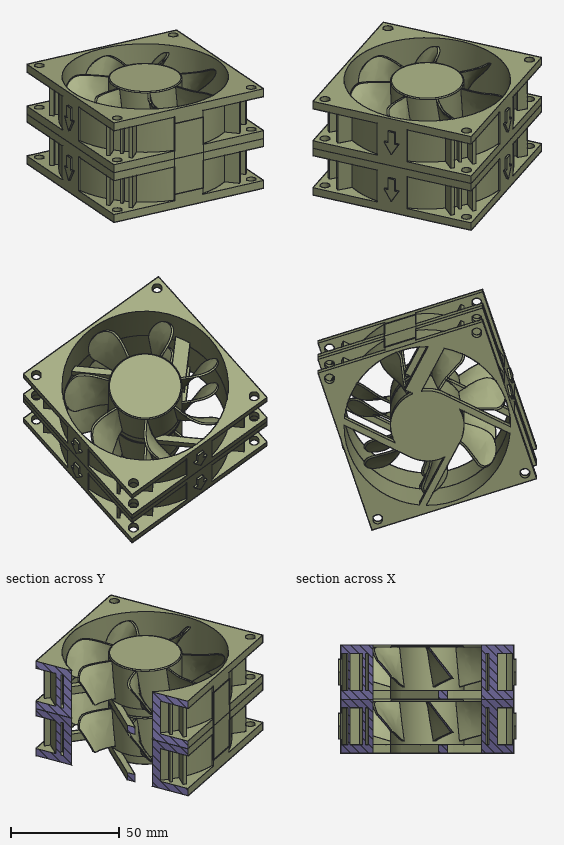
import cadquery as cq


fan_count = 2
fan_width = 80.0
fan_height = 25.0
flange_thickness = 4.0
duct_bore_radius = 38.4
duct_outer_radius = 40.0
side_pad_width = 15.0
screw_spacing = 71.5
screw_hole_diameter = 4.5

corner_angles = [45, 135, 225, 315]
hook_corner_angle = 225
rib_outer_offset = 6.25
rib_thickness = 1.7
rib_reach = 46.6
web_thickness = 1.2
web_reach = 42.7
hook_half_width = 8.0
hook_plate_inner = 41.5
hook_plate_outer = 43.6
hook_lip_reach = 46.4
hook_lip_thickness = 1.3

arrow_angles = [90, 180, 270]
arrow_height = 1.0
arrow_length = 12.0
arrow_head_length = 6.0
arrow_head_width = 7.2
arrow_shaft_width = 3.4

base_radius = 17.0
base_thickness = 4.0
strut_width = 3.0
strut_angles = [135, 225, 315]
strut_end_radius = (duct_bore_radius + duct_outer_radius) / 2
cable_strut_angle = 45
cable_strut_width = 7.0
cable_strut_start = 10.9

hub_radius = base_radius
hub_top = fan_height - 0.5
hub_chamfer = 0.5
blade_count = 7
blade_thickness = 1.0
blade_top = hub_top - hub_chamfer
blade_bottom = base_thickness + 1.0
blade_root = 15.0
blade_straight_end = 30.0
blade_bottom_rise = 4.5
blade_tip = 37.4
blade_top_curve = [(15.0, 3.0), (20.5, 4.7), (28.0, 6.2), (33.0, 5.8), (38.5, 5.0)]
blade_middle_curve = [(15.0, 1.9), (20.5, 1.8), (23.4, 1.2), (29.3, -0.7), (33.0, -2.2), (38.5, -2.6)]
blade_bottom_curve = [(15.0, 0.8), (17.0, 0.4), (23.4, -2.2), (29.3, -6.5), (33.0, -8.2), (38.5, -7.6)]

label_width = 15.5
label_length = 35.5
label_thickness = 0.33


def block(x_range, y_range, z_range):
    """A box between the given limits."""
    size = [high - low for low, high in (x_range, y_range, z_range)]
    corner = (x_range[0], y_range[0], z_range[0])
    return cq.Workplane("XY").box(*size, centered=False).translate(corner)


def turned(body, angle):
    """The body turned about the fan axis."""
    return body.rotate((0, 0, 0), (0, 0, 1), angle)


def make_frame():
    """Two square flanges joined by the duct wall and the four side pads."""
    frame = cq.Workplane("XY").rect(fan_width, fan_width).extrude(fan_height)
    waist_height = fan_height - 2 * flange_thickness
    waist = cq.Workplane("XY").workplane(offset=flange_thickness)
    recess = waist.rect(fan_width, fan_width).extrude(waist_height)
    recess = recess.cut(waist.circle(duct_outer_radius).extrude(waist_height))
    recess = recess.cut(waist.rect(fan_width, side_pad_width).extrude(waist_height))
    recess = recess.cut(waist.rect(side_pad_width, fan_width).extrude(waist_height))
    return frame.cut(recess)


def make_corner_ribs(angle):
    """Two ribs on the duct wall either side of a corner's diagonal, with a shorter web between."""
    rib_end = rib_reach
    web_end = web_reach
    if angle == hook_corner_angle:
        rib_end = hook_plate_inner
        web_end = hook_plate_inner
    waist = (flange_thickness, fan_height - flange_thickness)
    rib_inner_offset = rib_outer_offset - rib_thickness
    length = (duct_bore_radius, rib_end)
    ribs = block(length, (rib_inner_offset, rib_outer_offset), waist)
    ribs = ribs.union(block(length, (-rib_outer_offset, -rib_inner_offset), waist))
    web = block((duct_bore_radius, web_end), (-web_thickness / 2, web_thickness / 2), waist)
    return turned(ribs.union(web), angle)


def make_cable_hook():
    """A plate across one corner's ribs with a lip along one edge."""
    waist = (flange_thickness, fan_height - flange_thickness)
    plate = block((hook_plate_inner, hook_plate_outer), (-hook_half_width, hook_half_width), waist)
    lip_sides = (-hook_half_width, hook_lip_thickness - hook_half_width)
    lip = block((hook_plate_inner, hook_lip_reach), lip_sides, waist)
    return turned(plate.union(lip), hook_corner_angle)


def make_arrow(angle):
    """A raised arrow pointing down in the air flow direction."""
    tip_z = (fan_height - arrow_length) / 2
    head_z = tip_z + arrow_head_length
    tail_z = tip_z + arrow_length
    half_shaft = arrow_shaft_width / 2
    half_head = arrow_head_width / 2
    outline = [
        (0, tip_z),
        (half_head, head_z),
        (half_shaft, head_z),
        (half_shaft, tail_z),
        (-half_shaft, tail_z),
        (-half_shaft, head_z),
        (-half_head, head_z),
    ]
    arrow = cq.Workplane("YZ").workplane(offset=fan_width / 2).polyline(outline).close()
    return turned(arrow.extrude(arrow_height), angle)


def make_strut(angle, width, start):
    """A bar whose outer edge is tangent to the motor base, running out to the duct wall."""
    bar = block((start, duct_outer_radius), (-base_radius, width - base_radius), (0, base_thickness))
    duct = cq.Workplane("XY").circle(strut_end_radius).extrude(base_thickness)
    return turned(bar, angle).intersect(duct)


def make_housing():
    housing = make_frame()
    for angle in corner_angles:
        housing = housing.union(make_corner_ribs(angle))
    housing = housing.union(make_cable_hook())
    for angle in arrow_angles:
        housing = housing.union(make_arrow(angle))

    housing = housing.cut(cq.Workplane("XY").circle(duct_bore_radius).extrude(fan_height))
    screw_holes = cq.Workplane("XY").rect(screw_spacing, screw_spacing, forConstruction=True).vertices()
    housing = housing.cut(screw_holes.circle(screw_hole_diameter / 2).extrude(fan_height))

    housing = housing.union(cq.Workplane("XY").circle(base_radius).extrude(base_thickness))
    for angle in strut_angles:
        housing = housing.union(make_strut(angle, strut_width, 0))
    return housing.union(make_strut(cable_strut_angle, cable_strut_width, cable_strut_start))


def blade_section(curve, z):
    """A thin curved strip at height z that follows the curve, as a closed wire."""
    half = blade_thickness / 2
    leading = [cq.Vector(offset + half, distance, z) for distance, offset in curve]
    trailing = [cq.Vector(offset - half, distance, z) for distance, offset in curve]
    edges = [
        cq.Edge.makeSpline(leading),
        cq.Edge.makeLine(leading[-1], trailing[-1]),
        cq.Edge.makeSpline(trailing),
        cq.Edge.makeLine(trailing[0], leading[0]),
    ]
    return cq.Wire.assembleEdges(edges)


def make_blade():
    """A twisted sheet along +Y, trimmed to a side outline with an elliptical tip."""
    bottom = blade_section(blade_bottom_curve, blade_bottom)
    top = blade_section(blade_top_curve, blade_top)
    middle = blade_section(blade_middle_curve, (blade_bottom + blade_top) / 2)
    sheet = cq.Workplane(cq.Solid.makeLoft([bottom, middle, top]))
    outline = (
        cq.Workplane("YZ")
        .moveTo(blade_root, blade_bottom)
        .lineTo(blade_straight_end, blade_bottom + blade_bottom_rise)
        .ellipseArc(
            blade_tip - blade_straight_end,
            (blade_top - blade_bottom - blade_bottom_rise) / 2,
            -90,
            90,
            startAtCurrent=True,
        )
        .lineTo(blade_root, blade_top)
        .close()
    )
    return sheet.intersect(outline.extrude(duct_bore_radius, both=True))


def make_rotor():
    hub_height = hub_top - base_thickness
    rotor = cq.Workplane("XY").workplane(offset=base_thickness).circle(hub_radius).extrude(hub_height)
    rotor = rotor.faces(">Z").chamfer(hub_chamfer)
    blade = make_blade()
    for index in range(blade_count):
        rotor = rotor.union(turned(blade, index * 360 / blade_count))
    return rotor


def make_label():
    """A thin plate centred on the joint between the two fans."""
    centre_z = fan_count * fan_height / 2
    return block(
        (fan_width / 2, fan_width / 2 + label_thickness),
        (-label_width / 2, label_width / 2),
        (centre_z - label_length / 2, centre_z + label_length / 2),
    )


bodies = [make_label().val()]
housing = make_housing()
rotor = make_rotor()
for level in range(fan_count):
    lift = (0, 0, level * fan_height)
    bodies.append(housing.translate(lift).solids().val())
    bodies.append(rotor.translate(lift).solids().val())

result = cq.Compound.makeCompound(bodies)